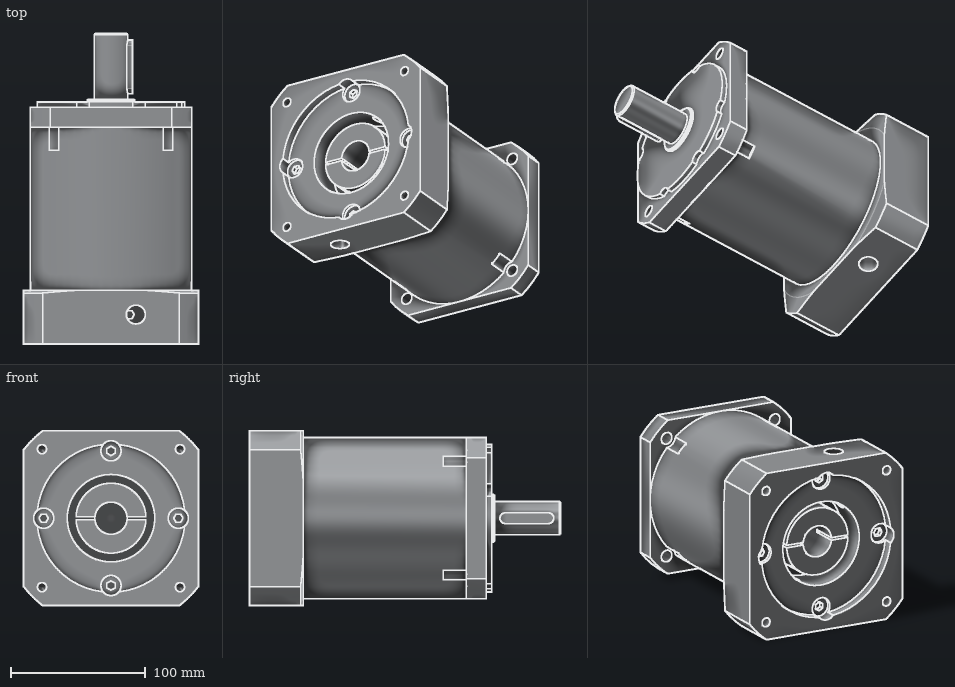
import cadquery as cq
import math


MOTOR_FLANGE_SIZE = 130.0
MOTOR_FLANGE_CORNER_DIAMETER = 165.0
MOTOR_FLANGE_LENGTH = 40.0
CORNER_BEVEL_INNER_DIAMETER = 140.0
CORNER_BEVEL_DROP = 2.0
MOTOR_BOLT_CIRCLE = 145.0
MOTOR_THREAD_DRILL = 6.8
MOTOR_THREAD_DEPTH = 20.0
DRILL_TIP_ANGLE = 118.0

RECESS_DIAMETER = 110.0
RECESS_DEPTH = 8.0
SCREW_CIRCLE = 100.0
SCREW_SEAT_DIAMETER = 15.0
SCREW_SEAT_DEPTH = 3.0
SOCKET_ACROSS_FLATS = 6.0
SOCKET_DEPTH = 4.0

CAVITY_DIAMETER = 65.0
CAVITY_END = 36.0
HUB_DIAMETER = 52.0
HUB_FACE = 13.7
HUB_BORE_DIAMETER = 24.0
HUB_BORE_END = 50.0
SLIT_WIDTH = 2.0
ACCESS_HOLE_DIAMETER = 14.0
ACCESS_HOLE_X = 18.5
ACCESS_HOLE_Y = 22.0
CLAMP_SOCKET_X = 13.8
CLAMP_SOCKET_FLOOR = 15.0

BODY_DIAMETER = 120.0
OUTPUT_FLANGE_SIZE = 120.0
OUTPUT_FLANGE_CORNER_DIAMETER = 150.0
OUTPUT_FLANGE_BACK = 161.0
OUTPUT_FLANGE_FACE = 176.0
OUTPUT_BOLT_CIRCLE = 130.0
OUTPUT_BOLT_HOLE = 9.0
BOLT_HEAD_SLOT_DIAMETER = 14.5
BOLT_HEAD_SLOT_LENGTH = 17.0

PILOT_DIAMETER = 110.0
PILOT_FACE = 180.0
PILOT_NOTCH_CIRCLE = 114.0
PILOT_NOTCH_DIAMETER = 11.0
PILOT_NOTCH_ANGLES = (22.5, 67.5, 112.5)
COLLAR_DIAMETER = 35.5
COLLAR_FACE = 182.0
COLLAR_CHAMFER = 0.8
SHAFT_DIAMETER = 25.0
SHAFT_END = 231.0
SHAFT_CHAMFER = 1.0
KEY_WIDTH = 8.0
KEY_LENGTH = 40.0
KEY_TOP = 16.0
KEY_SEAT = 8.5
KEY_END_GAP = 5.0


def cylinder(diameter, y_start, y_end, x=0.0, z=0.0):
    """Cylinder parallel to Y between two Y positions."""
    return cq.Workplane(
        cq.Solid.makeCylinder(diameter / 2, y_end - y_start, cq.Vector(x, y_start, z), cq.Vector(0, 1, 0))
    )


def polar(circle_diameter, angle):
    """X and Z of a point on a circle about the Y axis."""
    radius = circle_diameter / 2
    return radius * math.cos(math.radians(angle)), radius * math.sin(math.radians(angle))


def rounded_square(size, corner_diameter, y_start, y_end):
    """Square plate whose corners are turned down to a diameter."""
    length = y_end - y_start
    plate = cq.Workplane("XY").box(size, length, size).translate((0, y_start + length / 2, 0))
    return plate.intersect(cylinder(corner_diameter, y_start, y_end))


def motor_flange():
    """Motor flange with its corners turned to a shallow cone on the housing side."""
    inner = CORNER_BEVEL_INNER_DIAMETER / 2
    outer = MOTOR_FLANGE_CORNER_DIAMETER / 2
    envelope = (
        cq.Workplane("XY")
        .moveTo(0, 0)
        .lineTo(outer, 0)
        .lineTo(outer, MOTOR_FLANGE_LENGTH - CORNER_BEVEL_DROP)
        .lineTo(inner, MOTOR_FLANGE_LENGTH)
        .lineTo(0, MOTOR_FLANGE_LENGTH)
        .close()
        .revolve(360, (0, 0, 0), (0, 1, 0))
    )
    plate = rounded_square(MOTOR_FLANGE_SIZE, MOTOR_FLANGE_CORNER_DIAMETER, 0, MOTOR_FLANGE_LENGTH)
    return plate.intersect(envelope)


def drilled_hole(diameter, depth, x, z):
    """Blind hole from y = 0 with a conical drill tip."""
    radius = diameter / 2
    tip = radius / math.tan(math.radians(DRILL_TIP_ANGLE / 2))
    cone = cq.Solid.makeCone(radius, 0, tip, cq.Vector(x, depth, z), cq.Vector(0, 1, 0))
    return cylinder(diameter, 0, depth, x, z).union(cq.Workplane(cone))


def hexagon(plane, length):
    """Hexagon socket body along the normal of a plane, with a corner on the X axis."""
    across_corners = SOCKET_ACROSS_FLATS / math.cos(math.radians(30))
    return cq.Workplane(plane).polygon(6, across_corners).extrude(length)


def assembly_socket(y_start, x, z, angle):
    """Socket running to +Y, with one corner pointing at the given angle."""
    socket = hexagon("XZ", -SOCKET_DEPTH).rotate((0, 0, 0), (0, 1, 0), -angle)
    return socket.translate((x, y_start, z))


def cut_motor_side(part):
    """Pilot recess, screw seats with hexagon sockets and threaded holes in the motor face."""
    part = part.cut(cylinder(RECESS_DIAMETER, 0, RECESS_DEPTH))
    seat_floor = RECESS_DEPTH + SCREW_SEAT_DEPTH
    for quarter in range(4):
        x, z = polar(SCREW_CIRCLE, 90 * quarter)
        part = part.cut(cylinder(SCREW_SEAT_DIAMETER, 0, seat_floor, x, z))
        part = part.cut(assembly_socket(seat_floor, x, z, 90 * quarter))
        x, z = polar(MOTOR_BOLT_CIRCLE, 45 + 90 * quarter)
        part = part.cut(drilled_hole(MOTOR_THREAD_DRILL, MOTOR_THREAD_DEPTH, x, z))
    return part


def access_hole(side):
    """Hole from the flange side to the cavity; side is +1 for top, -1 for the half-turned one below."""
    start = cq.Vector(side * ACCESS_HOLE_X, ACCESS_HOLE_Y, 0)
    direction = cq.Vector(0, 0, side)
    return cq.Workplane(
        cq.Solid.makeCylinder(ACCESS_HOLE_DIAMETER / 2, MOTOR_FLANGE_SIZE / 2, start, direction)
    )


def clamp_socket(side):
    """Hexagon socket in one hub half, reached through the access hole on that side."""
    socket = hexagon("XY", side * HUB_DIAMETER / 2)
    return socket.translate((side * CLAMP_SOCKET_X, ACCESS_HOLE_Y, side * CLAMP_SOCKET_FLOOR))


def clamping_hub():
    """Split hub that stands on the cavity floor, with a clamp screw socket in each half."""
    length = CAVITY_END - HUB_FACE
    slit = cq.Workplane("XY").box(HUB_DIAMETER, length, SLIT_WIDTH)
    hub = cylinder(HUB_DIAMETER, HUB_FACE, CAVITY_END).cut(slit.translate((0, HUB_FACE + length / 2, 0)))
    for side in (1, -1):
        hub = hub.cut(clamp_socket(side))
    return hub


def cut_clamp_cavity(part):
    """Cavity with the hub in it, the access holes and the motor shaft bore."""
    part = part.cut(cylinder(CAVITY_DIAMETER, 0, CAVITY_END))
    for side in (1, -1):
        part = part.cut(access_hole(side))
    part = part.union(clamping_hub())
    return part.cut(cylinder(HUB_BORE_DIAMETER, 0, HUB_BORE_END))


def cut_output_bolts(part):
    """Bolt holes in the output flange and bolt head slots in the housing."""
    for quarter in range(4):
        x, z = polar(OUTPUT_BOLT_CIRCLE, 45 + 90 * quarter)
        slot_start = OUTPUT_FLANGE_BACK - BOLT_HEAD_SLOT_LENGTH
        part = part.cut(cylinder(BOLT_HEAD_SLOT_DIAMETER, slot_start, OUTPUT_FLANGE_BACK, x, z))
        part = part.cut(cylinder(OUTPUT_BOLT_HOLE, OUTPUT_FLANGE_BACK, OUTPUT_FLANGE_FACE, x, z))
    return part


def output_pilot():
    """Pilot disc with round notches in its rim, alike on opposite sides."""
    pilot = cylinder(PILOT_DIAMETER, OUTPUT_FLANGE_FACE, PILOT_FACE)
    for angle in PILOT_NOTCH_ANGLES:
        for half_turn in (0, 180):
            x, z = polar(PILOT_NOTCH_CIRCLE, angle + half_turn)
            pilot = pilot.cut(cylinder(PILOT_NOTCH_DIAMETER, OUTPUT_FLANGE_FACE, PILOT_FACE, x, z))
    return pilot


def output_shaft():
    """Seal collar and keyed shaft."""
    collar = cylinder(COLLAR_DIAMETER, PILOT_FACE, COLLAR_FACE).faces(">Y").chamfer(COLLAR_CHAMFER)
    shaft = cylinder(SHAFT_DIAMETER, PILOT_FACE, SHAFT_END).faces(">Y").chamfer(SHAFT_CHAMFER)
    key_centre = SHAFT_END - KEY_END_GAP - KEY_LENGTH / 2
    key = (
        cq.Workplane("YZ", origin=(KEY_SEAT, key_centre, 0))
        .slot2D(KEY_LENGTH, KEY_WIDTH)
        .extrude(KEY_TOP - KEY_SEAT)
    )
    return collar.union(shaft).union(key)


housing = motor_flange().union(cylinder(BODY_DIAMETER, MOTOR_FLANGE_LENGTH, OUTPUT_FLANGE_BACK))
housing = housing.union(
    rounded_square(
        OUTPUT_FLANGE_SIZE, OUTPUT_FLANGE_CORNER_DIAMETER, OUTPUT_FLANGE_BACK, OUTPUT_FLANGE_FACE
    )
)
housing = cut_motor_side(housing)
housing = cut_clamp_cavity(housing)
housing = cut_output_bolts(housing)
result = housing.union(output_pilot()).union(output_shaft())